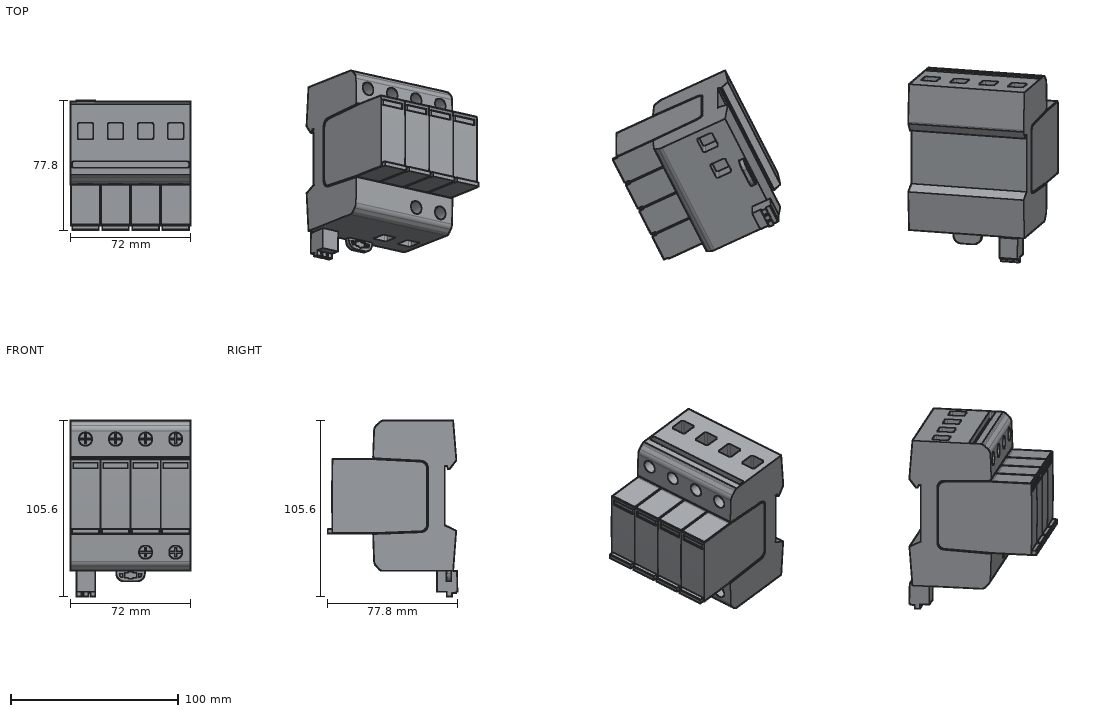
import cadquery as cq


POLES = 4
PITCH = 18.0
WIDTH = POLES * PITCH
HEIGHT = 90.2
MID_Z = HEIGHT / 2
POLE_X = [(i - (POLES - 1) / 2) * PITCH for i in range(POLES)]
LOWER_POLE_X = POLE_X[2:]

END_BACK_Y = 5.06
HEEL_Y = 6.9
SHOULDER_Y = -43.0
CORNER_FACE_Y = -42.35
CORNER_END_Y = -38.33
CORNER_HEIGHT = 4.23
TOP_FACET_START_Y = -37.15
TOP_FACET_MID_Y = -37.95
TOP_FACET_MID_DROP = 0.4
TOP_FACET_END_Y = -38.7
TOP_FACET_END_DROP = 0.85
CORNER_FACE_RADIUS = 4.5
CORNER_BOTTOM_RADIUS = 3.07
RAIL_TOP_Z = 62.8
RAIL_BOTTOM_Z = 27.5
HOOK_TIP_Z = 61.0
HOOK_TIP_BACK_Y = 2.9
HOOK_TIP_FRONT_Y = 1.9
HOOK_ROOT_Y = 1.2
UPPER_HEEL_TOP_Z = 67.3
UPPER_HEEL_BOTTOM_Z = 66.2
LOWER_HEEL_Z = 24.1

SEAT_BACK_Y = -10.0
SEAT_TOP_BACK_Z = 65.9
SEAT_TOP_FRONT_Z = 67.6
SEAT_BOTTOM_BACK_Z = 23.3
SEAT_BOTTOM_FRONT_Z = 22.05
SEAT_RADIUS = 4.6
SEAT_SIDE_DEPTH = 1.0
MOUTH_CHAMFER = 0.75

CLEARANCE = 0.35
MODULE_GAP = 0.12
MODULE_WIDTH = PITCH - MODULE_GAP
KINK_Y = -43.4
MODULE_TOP_Z = SEAT_TOP_FRONT_Z - CLEARANCE
MODULE_BOTTOM_Z = SEAT_BOTTOM_FRONT_Z + CLEARANCE
MODULE_FACE_Y = -67.35
FACE_CROWN = 0.25
FACE_ARC_TOP_Z = 66.2
FACE_SETBACK = 0.15
MODULE_CHAMFER = 0.35
WINDOW_WIDTH = 14.7
WINDOW_HEIGHT = 3.4
WINDOW_Z = 63.15
WINDOW_DEPTH = 1.0
TAB_WIDTH = 16.1
TAB_HEIGHT = 2.8
TAB_CHAMFER = 0.35
TAB_FRONT_Y = -70.19

SCREW_Z_OFFSET = 33.85
SCREW_HOLE_DIAMETER = 8.0
SCREW_HOLE_DEPTH = 12.0
CROSS_SLOT_WIDTH = 1.02
CROSS_LENGTH = 7.7
CROSS_HEIGHT = 5.6
CROSS_SLOT_DEPTH = 1.0
WIRE_WIDTH = 9.5
WIRE_LENGTH = 10.0
WIRE_Y = -10.96
WIRE_RADIUS = 1.2
WIRE_DEPTH = 12.0
LABEL_SLOT_LENGTH = 70.0
LABEL_SLOT_WIDTH = 3.8
LABEL_SLOT_Y = -31.0
LABEL_SLOT_RADIUS = 1.0
LABEL_SLOT_DEPTH = 4.5

FOOT_WIDTH = 17.3
FOOT_DROP = 6.3
FOOT_RADIUS = 5.0
FOOT_BACK_Y = 4.0
FOOT_THICKNESS = 3.0
FOOT_RECESS_Z = -2.55
FOOT_SLOT_WIDTH = 7.2
FOOT_SLOT_HEIGHT = 3.0
FOOT_SLOT_RADIUS = 0.5
FOOT_RECESS_DIAMETER = 4.5
FOOT_RECESS_DEPTH = 1.0
FOOT_FRONT_Y = FOOT_BACK_Y - FOOT_THICKNESS
FOOT_FLOOR_Y = FOOT_FRONT_Y + FOOT_RECESS_DEPTH
EYE_INNER_X = 4.75
EYE_TOP_X = 6.6
EYE_SIDE_X = 6.5
EYE_BOTTOM_X = 5.6
EYE_TOP_Z = -1.55
EYE_BOTTOM_Z = -3.75

PLUG_X = -26.75
PLUG_WIDTH = 11.3
PLUG_FRONT_Y = -4.7
PLUG_BACK_TOP_Y = 7.38
PLUG_BACK_Y = 7.66
PLUG_BOTTOM_Z = -12.5
PLUG_STEP_BACK_Y = 6.94
PLUG_STEP_Z = -13.2
PIN_BACK_Y = 4.34
PIN_FRONT_Y = 1.16
PIN_BOTTOM_Z = -15.42
PIN_GAP = 1.1
PIN_GAP_OFFSET = 2.05

OVERLAP = 1.0


def block(x_center, width, y0, y1, z0, z1):
    """Box centred on x_center and spanning the given Y and Z ranges."""
    return cq.Workplane("XY").box(width, y1 - y0, z1 - z0).translate(
        (x_center, (y0 + y1) / 2, (z0 + z1) / 2)
    )


def extrude_profile(points, width):
    """Closed Y-Z polygon extruded along X, centred on X = 0."""
    return cq.Workplane("YZ").polyline(points).close().extrude(width / 2, both=True)


def round_edge(body, y, z, radius):
    """Round the X-running edge nearest to (y, z)."""
    return body.edges("|X").edges(cq.NearestToPointSelector((0, y, z))).fillet(radius)


def make_housing():
    body = extrude_profile(
        [
            (END_BACK_Y, HEIGHT),
            (HEEL_Y, UPPER_HEEL_TOP_Z),
            (HEEL_Y, UPPER_HEEL_BOTTOM_Z),
            (HOOK_TIP_BACK_Y, HOOK_TIP_Z),
            (HOOK_TIP_FRONT_Y, HOOK_TIP_Z),
            (HOOK_ROOT_Y, RAIL_TOP_Z),
            (0, RAIL_TOP_Z),
            (0, RAIL_BOTTOM_Z),
            (HEEL_Y, LOWER_HEEL_Z),
            (END_BACK_Y, 0),
            (CORNER_END_Y, 0),
            (CORNER_FACE_Y, CORNER_HEIGHT),
            (SHOULDER_Y, SEAT_BOTTOM_FRONT_Z),
            (SHOULDER_Y + MOUTH_CHAMFER, SEAT_BOTTOM_FRONT_Z),
            (SHOULDER_Y + MOUTH_CHAMFER, SEAT_TOP_FRONT_Z),
            (SHOULDER_Y, SEAT_TOP_FRONT_Z + MOUTH_CHAMFER),
            (CORNER_FACE_Y, HEIGHT - CORNER_HEIGHT),
            (TOP_FACET_END_Y, HEIGHT - TOP_FACET_END_DROP),
            (TOP_FACET_MID_Y, HEIGHT - TOP_FACET_MID_DROP),
            (TOP_FACET_START_Y, HEIGHT),
        ],
        WIDTH,
    )
    body = round_edge(body, CORNER_END_Y, 0, CORNER_BOTTOM_RADIUS)
    for face_z in (CORNER_HEIGHT, HEIGHT - CORNER_HEIGHT):
        body = round_edge(body, CORNER_FACE_Y, face_z, CORNER_FACE_RADIUS)

    seat = extrude_profile(
        [
            (SEAT_BACK_Y, SEAT_TOP_BACK_Z),
            (SEAT_BACK_Y, SEAT_BOTTOM_BACK_Z),
            (SHOULDER_Y, SEAT_BOTTOM_FRONT_Z),
            (SHOULDER_Y, SEAT_TOP_FRONT_Z),
        ],
        WIDTH,
    )
    for corner_z in (SEAT_TOP_BACK_Z, SEAT_BOTTOM_BACK_Z):
        seat = round_edge(seat, SEAT_BACK_Y, corner_z, SEAT_RADIUS)
    core = block(0, WIDTH - 2 * SEAT_SIDE_DEPTH, SHOULDER_Y, SEAT_BACK_Y, 0, HEIGHT)
    return body.cut(seat.cut(core))


def make_module():
    """One plug-in module centred on X = 0."""
    back_y = SEAT_BACK_Y - CLEARANCE
    top_back_z = SEAT_TOP_BACK_Z - CLEARANCE
    bottom_back_z = SEAT_BOTTOM_BACK_Z + CLEARANCE
    crown_z = (FACE_ARC_TOP_Z + MODULE_BOTTOM_Z) / 2
    body = (
        cq.Workplane("YZ")
        .moveTo(back_y, top_back_z)
        .lineTo(back_y, bottom_back_z)
        .lineTo(KINK_Y, MODULE_BOTTOM_Z)
        .lineTo(MODULE_FACE_Y, MODULE_BOTTOM_Z)
        .threePointArc((MODULE_FACE_Y - FACE_CROWN, crown_z), (MODULE_FACE_Y, FACE_ARC_TOP_Z))
        .lineTo(MODULE_FACE_Y + FACE_SETBACK, MODULE_TOP_Z)
        .lineTo(KINK_Y, MODULE_TOP_Z)
        .close()
        .extrude(MODULE_WIDTH / 2, both=True)
    )
    for corner_z in (top_back_z, bottom_back_z):
        body = round_edge(body, back_y, corner_z, SEAT_RADIUS - CLEARANCE)
    body = body.faces(">Z").edges("|Y or <Y").chamfer(MODULE_CHAMFER)

    window = block(
        0, WINDOW_WIDTH,
        MODULE_FACE_Y - OVERLAP, MODULE_FACE_Y + WINDOW_DEPTH,
        WINDOW_Z - WINDOW_HEIGHT / 2, WINDOW_Z + WINDOW_HEIGHT / 2,
    )
    tab = block(
        0, TAB_WIDTH,
        TAB_FRONT_Y, MODULE_FACE_Y + OVERLAP,
        MODULE_BOTTOM_Z, MODULE_BOTTOM_Z + TAB_HEIGHT,
    )
    tab = tab.edges("|X and <Y and >Z").chamfer(TAB_CHAMFER)
    return body.cut(window).union(tab)


def screw_hole(x, z):
    """Blind screw shaft with a cross recess in its floor."""
    floor_y = SHOULDER_Y + SCREW_HOLE_DEPTH
    floor = cq.Workplane("XZ", origin=(x, floor_y, z))
    shaft = floor.circle(SCREW_HOLE_DIAMETER / 2).extrude(SCREW_HOLE_DEPTH + OVERLAP)
    for size_x, size_z in ((CROSS_LENGTH, CROSS_SLOT_WIDTH), (CROSS_SLOT_WIDTH, CROSS_HEIGHT)):
        recess = block(
            x, size_x,
            floor_y, floor_y + CROSS_SLOT_DEPTH,
            z - size_z / 2, z + size_z / 2,
        )
        shaft = shaft.union(recess)
    return shaft


def wire_pocket(x, z0, z1):
    pocket = block(x, WIRE_WIDTH, WIRE_Y - WIRE_LENGTH / 2, WIRE_Y + WIRE_LENGTH / 2, z0, z1)
    return pocket.edges("|Z").fillet(WIRE_RADIUS)


def label_slot():
    slot = block(
        0, LABEL_SLOT_LENGTH,
        LABEL_SLOT_Y - LABEL_SLOT_WIDTH / 2, LABEL_SLOT_Y + LABEL_SLOT_WIDTH / 2,
        HEIGHT - LABEL_SLOT_DEPTH, HEIGHT,
    )
    return slot.edges("|Z").fillet(LABEL_SLOT_RADIUS)


def foot_eye():
    """Small D-shaped recess on the +X side of the foot."""
    return (
        cq.Workplane("XZ", origin=(0, FOOT_FLOOR_Y, 0))
        .moveTo(EYE_INNER_X, EYE_TOP_Z)
        .lineTo(EYE_TOP_X, EYE_TOP_Z)
        .threePointArc((EYE_SIDE_X, (EYE_TOP_Z + EYE_BOTTOM_Z) / 2), (EYE_BOTTOM_X, EYE_BOTTOM_Z))
        .lineTo(EYE_INNER_X, EYE_BOTTOM_Z)
        .close()
        .extrude(FOOT_RECESS_DEPTH)
    )


def make_foot():
    foot = block(0, FOOT_WIDTH, FOOT_FRONT_Y, FOOT_BACK_Y, -FOOT_DROP, OVERLAP)
    foot = foot.edges("|Y and <Z").fillet(FOOT_RADIUS)
    slot = block(
        0, FOOT_SLOT_WIDTH, FOOT_FRONT_Y, FOOT_FLOOR_Y,
        FOOT_RECESS_Z - FOOT_SLOT_HEIGHT / 2, FOOT_RECESS_Z + FOOT_SLOT_HEIGHT / 2,
    ).edges("|Y").fillet(FOOT_SLOT_RADIUS)
    hole = (
        cq.Workplane("XZ", origin=(0, FOOT_FLOOR_Y, FOOT_RECESS_Z))
        .circle(FOOT_RECESS_DIAMETER / 2)
        .extrude(FOOT_RECESS_DEPTH)
    )
    eye = foot_eye()
    return foot.cut(slot).cut(hole).cut(eye).cut(eye.mirror("YZ"))


def make_plug():
    plug = extrude_profile(
        [
            (PLUG_FRONT_Y, 0),
            (PLUG_BACK_TOP_Y, 0),
            (PLUG_BACK_Y, PLUG_BOTTOM_Z),
            (PLUG_STEP_BACK_Y, PLUG_BOTTOM_Z),
            (PLUG_STEP_BACK_Y, PLUG_STEP_Z),
            (PIN_BACK_Y, PLUG_STEP_Z),
            (PIN_BACK_Y, PIN_BOTTOM_Z),
            (PIN_FRONT_Y, PIN_BOTTOM_Z),
            (PIN_FRONT_Y, PLUG_BOTTOM_Z),
            (PLUG_FRONT_Y, PLUG_BOTTOM_Z),
        ],
        PLUG_WIDTH,
    )
    for gap_x in (-PIN_GAP_OFFSET, PIN_GAP_OFFSET):
        plug = plug.cut(block(gap_x, PIN_GAP, PIN_FRONT_Y, PIN_BACK_Y, PIN_BOTTOM_Z, PLUG_STEP_Z))
    return plug.translate((PLUG_X, 0, 0))


result = make_housing()
module = make_module()
for pole_x in POLE_X:
    result = result.union(module.translate((pole_x, 0, 0)))
    result = result.cut(screw_hole(pole_x, MID_Z + SCREW_Z_OFFSET))
    result = result.cut(wire_pocket(pole_x, HEIGHT - WIRE_DEPTH, HEIGHT))
for pole_x in LOWER_POLE_X:
    result = result.cut(screw_hole(pole_x, MID_Z - SCREW_Z_OFFSET))
    result = result.cut(wire_pocket(pole_x, 0, WIRE_DEPTH))
result = result.cut(label_slot())
result = result.union(make_foot()).union(make_plug())